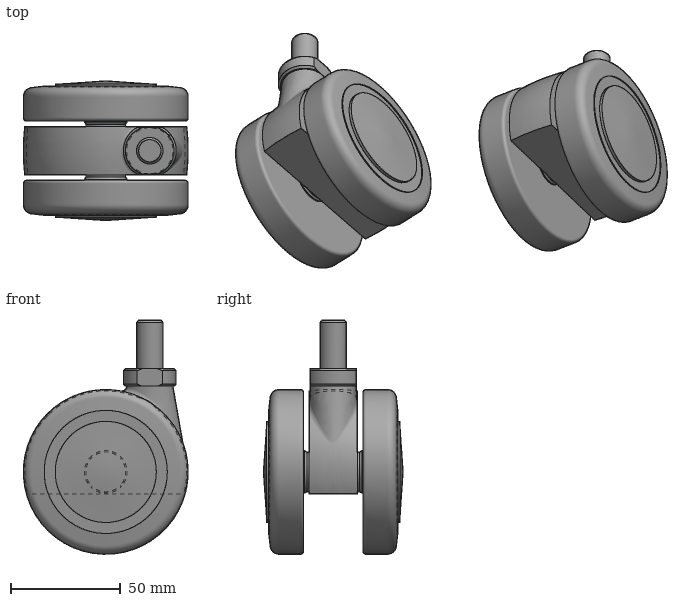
import cadquery as cq
import math


TOTAL_HEIGHT = 106.5
TOTAL_WIDTH = 63.6

WHEEL_RADIUS = 37.5
WHEEL_INNER_Y = 13.4
INNER_EDGE_FILLET = 1.5
TREAD_OUTER_Y = 24.4
RIM_RADIUS = 33.5
RIM_Y = 28.8
RECESS_RADIUS = 28.0
RECESS_Y = 29.0
LIP_Y = 29.4
CAP_RADIUS = 23.0
CAP_EDGE_Y = 30.2
CAP_CENTRE_RADIUS = 17.8
CAP_CENTRE_Y = 30.6
APEX_Y = TOTAL_WIDTH / 2

HUB_RADIUS = 9.0
HUB_BASE_RADIUS = 9.7
HUB_CONE_START_Y = 12.0
HUB_CONE_END_Y = 13.0

HOUSING_RADIUS = WHEEL_RADIUS
HOUSING_SIDE_RADIUS = 36.8
HOUSING_HALF_WIDTH = 11.0
HOUSING_BOTTOM_Z = -10.0
DRUM_BLANK_HALF_WIDTH = 17.0

STEM_X = 20.0
STEM_DIAMETER = 12.0
STEM_TOP_Z = TOTAL_HEIGHT - WHEEL_RADIUS
FLANGE_RADIUS = 12.0
FLANGE_BOTTOM_Z = 39.0
FLANGE_TOP_Z = 47.0
FLANGE_HALF_FLATS = 10.5
STEM_CHAMFER = 1.0

NECK_TOP_RADIUS = FLANGE_HALF_FLATS
NECK_FOOT_HALF_WIDTH = 10.9
NECK_DRAFT_DEGREES = 10.0
NECK_FOOT_Z = 8.5
NECK_FILLET = 2.1
EDGE_MARGIN = 0.1


def make_wheel(side):
    """One wheel with hub and cap, on the +Y (side=1) or -Y (side=-1) side."""
    diagonal = math.sin(math.radians(45))
    shoulder_mid = (
        RIM_RADIUS + (WHEEL_RADIUS - RIM_RADIUS) * diagonal,
        TREAD_OUTER_Y + (RIM_Y - TREAD_OUTER_Y) * diagonal,
    )
    profile = (
        cq.Workplane("XY")
        .moveTo(0, HOUSING_HALF_WIDTH)
        .lineTo(HUB_RADIUS, HOUSING_HALF_WIDTH)
        .lineTo(HUB_RADIUS, HUB_CONE_START_Y)
        .lineTo(HUB_BASE_RADIUS, HUB_CONE_END_Y)
        .lineTo(HUB_BASE_RADIUS, WHEEL_INNER_Y)
        .lineTo(WHEEL_RADIUS - INNER_EDGE_FILLET, WHEEL_INNER_Y)
        .radiusArc((WHEEL_RADIUS, WHEEL_INNER_Y + INNER_EDGE_FILLET), -INNER_EDGE_FILLET)
        .lineTo(WHEEL_RADIUS, TREAD_OUTER_Y)
        .threePointArc(shoulder_mid, (RIM_RADIUS, RIM_Y))
        .lineTo(RECESS_RADIUS, LIP_Y)
        .lineTo(RECESS_RADIUS, RECESS_Y)
        .lineTo(CAP_RADIUS, RECESS_Y)
        .lineTo(CAP_RADIUS, CAP_EDGE_Y)
        .lineTo(CAP_CENTRE_RADIUS, CAP_CENTRE_Y)
        .lineTo(0, APEX_Y)
        .close()
    )
    wheel = profile.revolve(360, (0, 0, 0), (0, 1, 0))
    return wheel if side > 0 else wheel.mirror("XZ")


def make_drum():
    """Crowned housing drum, left wider than the housing until the neck is blended in."""
    crown_drop = HOUSING_RADIUS - HOUSING_SIDE_RADIUS
    crown_radius = (HOUSING_HALF_WIDTH**2 + crown_drop**2) / (2 * crown_drop)
    drum_side_radius = (
        HOUSING_RADIUS - crown_radius + math.sqrt(crown_radius**2 - DRUM_BLANK_HALF_WIDTH**2)
    )
    return (
        cq.Workplane("XY")
        .moveTo(0, -DRUM_BLANK_HALF_WIDTH)
        .lineTo(drum_side_radius, -DRUM_BLANK_HALF_WIDTH)
        .threePointArc((HOUSING_RADIUS, 0), (drum_side_radius, DRUM_BLANK_HALF_WIDTH))
        .lineTo(0, DRUM_BLANK_HALF_WIDTH)
        .close()
        .revolve(360, (0, 0, 0), (0, 1, 0))
    )


def make_neck():
    """Neck that is round under the flange and widens along X only towards its foot."""
    height = FLANGE_BOTTOM_Z - NECK_FOOT_Z
    foot_half_length = NECK_TOP_RADIUS + height * math.tan(math.radians(NECK_DRAFT_DEGREES))
    return (
        cq.Workplane("XY", origin=(STEM_X, 0, NECK_FOOT_Z))
        .ellipse(foot_half_length, NECK_FOOT_HALF_WIDTH)
        .workplane(offset=height)
        .ellipse(NECK_TOP_RADIUS, NECK_TOP_RADIUS)
        .loft(ruled=True)
    )


def make_flats_block():
    """Block that limits the flange to its width across the flats."""
    return cq.Workplane("XY", origin=(STEM_X, 0, FLANGE_BOTTOM_Z)).box(
        2 * FLANGE_RADIUS,
        2 * FLANGE_HALF_FLATS,
        FLANGE_TOP_Z - FLANGE_BOTTOM_Z,
        centered=(True, True, False),
    )


def make_housing():
    """Drum and neck as one body, blended by a fillet and trimmed to the housing width and floor."""
    blend_zone = cq.selectors.BoxSelector(
        (0, -DRUM_BLANK_HALF_WIDTH, NECK_FOOT_Z + EDGE_MARGIN),
        (2 * STEM_X, DRUM_BLANK_HALF_WIDTH, FLANGE_BOTTOM_Z - EDGE_MARGIN),
        boundingbox=True,
    )
    envelope = cq.Workplane("XY", origin=(0, 0, HOUSING_BOTTOM_Z)).box(
        2 * HOUSING_RADIUS, 2 * HOUSING_HALF_WIDTH, 2 * HOUSING_RADIUS, centered=(True, True, False)
    )
    return make_drum().union(make_neck()).edges(blend_zone).fillet(NECK_FILLET).intersect(envelope)


def make_stem():
    """Plain stem on a round flange with two flats."""
    flange = (
        cq.Workplane("XY", origin=(STEM_X, 0, FLANGE_BOTTOM_Z))
        .circle(FLANGE_RADIUS)
        .extrude(FLANGE_TOP_Z - FLANGE_BOTTOM_Z)
        .edges("%CIRCLE")
        .chamfer(STEM_CHAMFER)
        .intersect(make_flats_block())
    )
    rod = (
        cq.Workplane("XY", origin=(STEM_X, 0, FLANGE_TOP_Z))
        .circle(STEM_DIAMETER / 2)
        .extrude(STEM_TOP_Z - FLANGE_TOP_Z)
        .faces(">Z")
        .chamfer(STEM_CHAMFER)
    )
    return flange.union(rod)


housing = make_housing()
stem = make_stem()
wheels = [make_wheel(side) for side in (1, -1)]

result = cq.Compound.makeCompound([housing.val(), stem.val(), *[wheel.val() for wheel in wheels]])